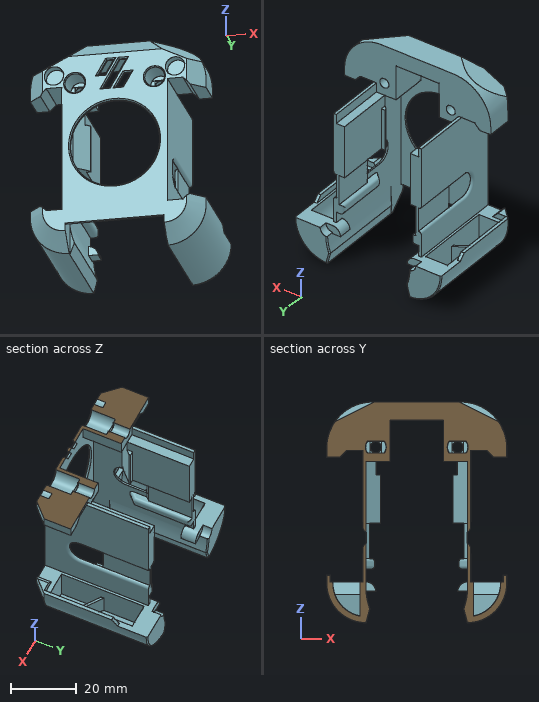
import cadquery as cq

HALF_WIDTH = 27.5
DEPTH = 40.0
HEIGHT = 67.4

PICK_MARGIN = 0.1

BODY_HALF = 16.5
WALL = 1.1
BODY_INNER = BODY_HALF - WALL
PLATE_THICKNESS = 1.1
PLATE_BOTTOM = 7.9
WALL_BACK = 35.0
BORE_DIAMETER = 28.0
BORE_HEIGHT = 33.0
BORE_CHAMFER = 0.4

LIP_INNER = 23.4
LIP_STEP = 2.0

HEAD_DEPTH = 14.0
HEAD_UNDERSIDE = 52.5
HEAD_CORNER_RADIUS = 14.0
HEAD_CHAMFER = 5.0
HEAD_FACET_HEIGHT = 58.6
CAVITY_HALF = 8.1
CAVITY_TOP = 61.75

SCREW_X = 12.5
SCREW_HEIGHT = 53.6
SCREW_DIAMETER = 3.4
SCREW_HEAD_DIAMETER = 6.2
SCREW_HEAD_DEPTH = 8.0
SCREW_HEAD_CHAMFER = 0.35
SCREW_STEP = 0.3
SCREW_FLAT = 3.5
MAGNET_X = 18.95
MAGNET_HEIGHT = 56.4
MAGNET_DIAMETER = 6.0
MAGNET_DEPTH = 2.95

WINDOWS = [(-5.25, 55.7, 2.2, 4.7), (-3.85, 51.3, 2.2, 9.1), (0.3, 51.3, 2.2, 4.5)]
WINDOW_SLANT = 0.58
WINDOW_RIM = 0.4

SLOT_RADIUS = 4.25
SLOT_END_CENTRE = 12.15
SLOT_HEIGHT = 25.95
SLOT_ROUNDING = 1.0

ARM_INNER = 12.35
ARM_BOTTOM = 30.35
ARM_TOP = 49.2
HOOK_INNER = 11.0
HOOK_TOP = 45.15
HOOK_BACK = 15.8
ARM_FRONT = 10.7
SHIELD_INNER = BODY_INNER - WALL
SHIELD_FRONT = 19.15
RAIL_INNER = 12.8
RAIL_BOTTOM = 16.4
RAIL_TOP = 19.6
RAIL_FRONT = 13.5
RAIL_ROUNDING = 1.0
STOP_RADIUS = 2.95
STOP_FRONT = 32.0
STOP_BACK = 36.95

LEG_TOP = 12.55
LEG_RADIUS = HALF_WIDTH - BODY_INNER
LEG_BEVEL = 5.45
LEG_BEVEL_CENTRE = 15.9
LEG_BACK_CHAMFER = 0.4
LIP_BACK = 29.9
CATCH_INNER = 14.3
CATCH_HEIGHT = 4.25
CATCH_TOP = 10.1
CATCH_FRONT = 6.5
CATCH_RADIUS = 20.2
SCOOP_RADIUS = 2.5

POCKET_INNER = 17.3
POCKET_FLOOR = 1.95
POCKET_FRONT = 6.0
POCKET_BACK = 33.9
POCKET_TAPER = 0.8
POCKET_TAPER_DEPTH = 4.05
LEDGE_OUTER = 26.35
LEDGE_FRONT = 4.5
RIB_TOP = 8.6
RIB_FRONT = 14.75
RIB_BACK = 20.35
RIB_WIDTH = 0.95


def front_plane(y):
    """Plane facing the front, at depth y; extruding by a negative length goes towards the back."""
    return cq.Workplane("XZ", origin=(0, y, 0))


def block(x0, x1, y0, y1, z0, z1):
    return cq.Workplane("XY").box(x1 - x0, y1 - y0, z1 - z0, centered=False).translate((x0, y0, z0))


def prism_up(points, bottom, top):
    return cq.Workplane("XY", origin=(0, 0, bottom)).polyline(points).close().extrude(top - bottom)


def cylinder(x, z, diameter, y0, y1):
    return front_plane(y0).center(x, z).circle(diameter / 2).extrude(y0 - y1)


def cone(x, z, diameter, depth):
    """Countersink in the front face that narrows to the diameter at the depth."""
    wide = front_plane(0).center(x, z).circle(diameter / 2 + depth)
    return wide.workplane(offset=-depth).circle(diameter / 2).loft()


def half_space(point, normal):
    """Cutting block that fills the outer side of a plane."""
    size = 2 * HEIGHT
    plane = cq.Plane(origin=point, normal=normal)
    return cq.Workplane(plane).rect(size, size).extrude(size)


def with_mirror(shape):
    return shape.union(shape.mirror("YZ"))


def make_head():
    lip_bottom = HEAD_UNDERSIDE - LIP_STEP
    corner_x = HALF_WIDTH - HEAD_CORNER_RADIUS
    corner_z = HEIGHT - HEAD_CORNER_RADIUS
    half = (
        front_plane(0)
        .moveTo(0, HEIGHT)
        .lineTo(corner_x, HEIGHT)
        .radiusArc((HALF_WIDTH, corner_z), HEAD_CORNER_RADIUS)
        .lineTo(HALF_WIDTH, lip_bottom)
        .lineTo(LIP_INNER, lip_bottom)
        .lineTo(LIP_INNER - LIP_STEP, HEAD_UNDERSIDE)
        .lineTo(0, HEAD_UNDERSIDE)
        .close()
        .extrude(-HEAD_DEPTH)
    )
    bevel_x = HALF_WIDTH - HEAD_CHAMFER
    half = half.cut(half_space((bevel_x, 0, 0), (1, -1, 0)))
    half = half.cut(half_space((0, 0, HEIGHT - HEAD_CHAMFER), (0, -1, 1)))
    half = half.cut(half_space((bevel_x, 0, HEAD_FACET_HEIGHT), (1, -1, 2)))
    half = half.union(block(0, BODY_INNER, 0, HEAD_DEPTH, ARM_TOP, HEAD_UNDERSIDE))
    half = half.cut(block(0, CAVITY_HALF, PLATE_THICKNESS, HEAD_DEPTH, 0, CAVITY_TOP))
    return with_mirror(half)


def make_plate():
    return block(-BODY_HALF, BODY_HALF, 0, PLATE_THICKNESS, PLATE_BOTTOM, HEAD_UNDERSIDE)


def make_wall():
    wall = block(BODY_INNER, BODY_HALF, 0, WALL_BACK, LEG_TOP, HEAD_UNDERSIDE)
    slot = (
        cq.Workplane("YZ")
        .moveTo(WALL_BACK, SLOT_HEIGHT - SLOT_RADIUS)
        .lineTo(SLOT_END_CENTRE, SLOT_HEIGHT - SLOT_RADIUS)
        .radiusArc((SLOT_END_CENTRE, SLOT_HEIGHT + SLOT_RADIUS), SLOT_RADIUS)
        .lineTo(WALL_BACK, SLOT_HEIGHT + SLOT_RADIUS)
        .close()
        .extrude(HALF_WIDTH)
    )
    wall = wall.cut(slot)
    rim = cq.selectors.BoxSelector(
        (BODY_HALF - PICK_MARGIN, PICK_MARGIN, SLOT_HEIGHT - SLOT_RADIUS - PICK_MARGIN),
        (BODY_HALF + PICK_MARGIN, WALL_BACK - PICK_MARGIN, SLOT_HEIGHT + SLOT_RADIUS + PICK_MARGIN),
    )
    return wall.edges(rim).fillet(SLOT_ROUNDING)


def slanted_bar(front, back, inner, bottom, top):
    """Bar on the inside of the side wall whose front end slants back at 45 degrees."""
    points = [
        (BODY_INNER, front),
        (inner, front + BODY_INNER - inner),
        (inner, back),
        (BODY_INNER, back),
    ]
    return prism_up(points, bottom, top)


def make_guides():
    arm = slanted_bar(ARM_FRONT, WALL_BACK, ARM_INNER, ARM_BOTTOM, ARM_TOP)
    hook = slanted_bar(ARM_FRONT, HOOK_BACK, HOOK_INNER, ARM_BOTTOM, HOOK_TOP)
    shield = slanted_bar(SHIELD_FRONT, WALL_BACK, SHIELD_INNER, RAIL_TOP - RAIL_ROUNDING, ARM_BOTTOM)
    rail = (
        slanted_bar(RAIL_FRONT, WALL_BACK, RAIL_INNER, RAIL_BOTTOM, RAIL_TOP)
        .edges("<X or (not(|X or |Y or |Z))")
        .fillet(RAIL_ROUNDING)
    )
    return arm.union(hook).union(shield).union(rail)


def make_stop():
    """Quarter-round bar on the inner side of the leg, at the back of the side wall."""
    return (
        front_plane(STOP_FRONT)
        .moveTo(BODY_INNER, LEG_TOP - STOP_RADIUS)
        .lineTo(BODY_INNER - STOP_RADIUS, LEG_TOP - STOP_RADIUS)
        .radiusArc((BODY_INNER, LEG_TOP), STOP_RADIUS)
        .close()
        .extrude(STOP_FRONT - STOP_BACK)
    )


def bevel_section(sketch, radius):
    """Rounded corner outline that limits the leg in its bevelled front part."""
    top = LEG_TOP + 2 * LIP_STEP
    return (
        sketch.moveTo(0, LEG_RADIUS - radius)
        .lineTo(LEG_BEVEL_CENTRE, LEG_RADIUS - radius)
        .radiusArc((LEG_BEVEL_CENTRE + radius, LEG_RADIUS), -radius)
        .lineTo(LEG_BEVEL_CENTRE + radius, top)
        .lineTo(0, top)
        .close()
    )


def make_catch():
    """Ridge along the inner side of the leg with a slanted front end."""
    return (
        front_plane(CATCH_FRONT)
        .moveTo(BODY_INNER, 0)
        .lineTo(CATCH_INNER, CATCH_HEIGHT)
        .radiusArc((BODY_INNER, CATCH_TOP), -CATCH_RADIUS)
        .close()
        .extrude(CATCH_FRONT - DEPTH)
        .cut(half_space((BODY_INNER, CATCH_FRONT, 0), (-1, -1, 0)))
    )


def make_pocket():
    radius = LEG_RADIUS - POCKET_FLOOR
    floor_drop = (radius**2 - (POCKET_INNER - BODY_INNER) ** 2) ** 0.5
    lip_top = LEG_TOP + LIP_STEP
    section = (
        front_plane(POCKET_FRONT)
        .moveTo(POCKET_INNER, lip_top)
        .lineTo(POCKET_INNER, LEG_RADIUS - floor_drop)
        .radiusArc((BODY_INNER + radius, LEG_RADIUS), -radius)
        .lineTo(BODY_INNER + radius, lip_top)
        .close()
        .extrude(POCKET_FRONT - POCKET_BACK)
    )
    taper_bottom = LEG_TOP - POCKET_TAPER_DEPTH
    side = (
        cq.Workplane("YZ")
        .polyline(
            [
                (POCKET_FRONT, 0),
                (POCKET_BACK - POCKET_TAPER, 0),
                (POCKET_BACK - POCKET_TAPER, taper_bottom),
                (POCKET_BACK, LEG_TOP),
                (POCKET_BACK, lip_top),
                (POCKET_FRONT, lip_top),
            ]
        )
        .close()
        .extrude(HALF_WIDTH)
    )
    outer = BODY_INNER + radius
    rib = prism_up(
        [
            (POCKET_INNER, RIB_BACK),
            (outer, RIB_FRONT),
            (outer, RIB_FRONT - RIB_WIDTH),
            (POCKET_INNER, RIB_BACK - RIB_WIDTH),
        ],
        0,
        RIB_TOP,
    )
    ledge = block(LIP_INNER - LIP_STEP, LEDGE_OUTER, LEDGE_FRONT, DEPTH, LEG_TOP, lip_top)
    return section.intersect(side).cut(rib).union(ledge)


def make_leg():
    lip_top = LEG_TOP + LIP_STEP
    leg = (
        front_plane(0)
        .moveTo(BODY_INNER, 0)
        .radiusArc((HALF_WIDTH, LEG_RADIUS), -LEG_RADIUS)
        .lineTo(HALF_WIDTH, lip_top)
        .lineTo(LIP_INNER, lip_top)
        .lineTo(LIP_INNER - LIP_STEP, LEG_TOP)
        .lineTo(BODY_INNER, LEG_TOP)
        .close()
        .extrude(-DEPTH)
    )
    bevel = bevel_section(front_plane(0), LEG_RADIUS - LEG_BEVEL)
    bevel = bevel_section(bevel.workplane(offset=-LEG_BEVEL), LEG_RADIUS).loft(ruled=True)
    leg = leg.intersect(bevel.union(block(0, HALF_WIDTH, LEG_BEVEL, DEPTH, 0, HEIGHT)))
    lip_end = (
        cq.Workplane("YZ")
        .polyline([(LIP_BACK - LIP_STEP, lip_top), (LIP_BACK, LEG_TOP), (DEPTH, LEG_TOP), (DEPTH, lip_top)])
        .close()
        .extrude(HALF_WIDTH)
    )
    leg = leg.cut(lip_end).union(make_catch())
    below_top = cq.selectors.BoxSelector(
        (0, DEPTH - PICK_MARGIN, -PICK_MARGIN),
        (HALF_WIDTH + PICK_MARGIN, DEPTH + PICK_MARGIN, LEG_TOP - PICK_MARGIN),
    )
    leg = leg.edges(below_top).chamfer(LEG_BACK_CHAMFER)
    scoop = cylinder(BODY_INNER, LEG_TOP, 2 * SCOOP_RADIUS, STOP_BACK, DEPTH)
    return leg.cut(make_pocket()).cut(scoop).union(make_stop())


def make_screw_hole():
    """Counterbored hole whose floor steps from a slot to a square before the screw bore."""
    head = cylinder(SCREW_X, SCREW_HEIGHT, SCREW_HEAD_DIAMETER, 0, SCREW_HEAD_DEPTH)
    head = head.union(cone(SCREW_X, SCREW_HEIGHT, SCREW_HEAD_DIAMETER, SCREW_HEAD_CHAMFER))
    slot_end = SCREW_HEAD_DEPTH + SCREW_STEP
    square_end = slot_end + SCREW_STEP
    half_flat = SCREW_FLAT / 2
    low = SCREW_HEIGHT - half_flat
    high = SCREW_HEIGHT + half_flat
    slot = cylinder(SCREW_X, SCREW_HEIGHT, SCREW_HEAD_DIAMETER, 0, slot_end)
    slot = slot.intersect(block(0, HALF_WIDTH, 0, slot_end, low, high))
    square = block(SCREW_X - half_flat, SCREW_X + half_flat, 0, square_end, low, high)
    bore = cylinder(SCREW_X, SCREW_HEIGHT, SCREW_DIAMETER, 0, HEAD_DEPTH)
    return head.union(slot).union(square).union(bore)


def window_outline(sketch, x, z, width, height, margin):
    """Parallelogram leaning to the right, grown by the margin on all sides."""
    side = margin * (1 + WINDOW_SLANT**2) ** 0.5
    lean = WINDOW_SLANT * (height + margin)
    drop = WINDOW_SLANT * margin
    return sketch.polyline(
        [
            (x - side - drop, z - margin),
            (x + width + side - drop, z - margin),
            (x + width + side + lean, z + height + margin),
            (x - side + lean, z + height + margin),
        ]
    ).close()


def make_window(x, z, width, height):
    opening = window_outline(front_plane(0), x, z, width, height, 0).extrude(-PLATE_THICKNESS)
    rim = window_outline(front_plane(0), x, z, width, height, WINDOW_RIM)
    rim = window_outline(rim.workplane(offset=-WINDOW_RIM), x, z, width, height, 0).loft(ruled=True)
    return opening.union(rim)


side = make_wall().union(make_guides()).union(make_leg())
result = make_head().union(make_plate()).union(with_mirror(side))

bore = cylinder(0, BORE_HEIGHT, BORE_DIAMETER, 0, PLATE_THICKNESS)
bore = bore.union(cone(0, BORE_HEIGHT, BORE_DIAMETER, BORE_CHAMFER))
result = result.cut(bore)

magnet_hole = cylinder(MAGNET_X, MAGNET_HEIGHT, MAGNET_DIAMETER, 0, MAGNET_DEPTH)
result = result.cut(with_mirror(magnet_hole)).cut(with_mirror(make_screw_hole()))

for window in WINDOWS:
    result = result.cut(make_window(*window))